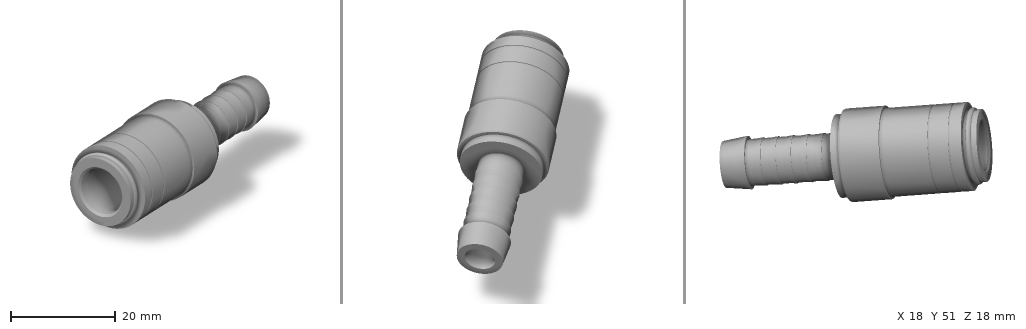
import cadquery as cq


FULL_TURN = 360

total_length = 51.0
body_start = 2.7
collar_start = 18.75
collar_length = 8.0
shoulder_end = 28.5

nose_radius = 7.0
body_radius = 8.55
collar_radius = 9.0
shoulder_radius = 8.05
stem_radius = 4.5

collar_chamfer_length = 0.3
collar_chamfer_depth = 0.15

ring_center = 1.65
ring_half_width = 0.55
ring_height = 0.45

groove_starts = (4.95, 9.0)
groove_width = 0.3
groove_depth = 0.15

barb_count = 5
barb_pitch = 3.0
first_barb = 31.0
barb_taper_length = barb_pitch / 2
barb_height = 0.15

head_length = 5.0
head_radius = 5.15

through_radius = 3.0
socket_radius = 4.7
socket_depth = collar_start
socket_chamfer_depth = 0.45
socket_chamfer_length = 0.45


def revolve_profile(profile):
    """Close a (radius, station) outline and turn it about the Y axis."""
    return profile.close().revolve(FULL_TURN, (0, 0, 0), (0, 1, 0))


def cylinder(radius, start, end):
    """Solid cylinder on the Y axis between two stations."""
    return revolve_profile(
        cq.Workplane("XY")
        .moveTo(0, start)
        .lineTo(radius, start)
        .lineTo(radius, end)
        .lineTo(0, end)
    )


def cone(start_radius, start, end_radius, end):
    """Solid truncated cone on the Y axis between two stations."""
    return revolve_profile(
        cq.Workplane("XY")
        .moveTo(0, start)
        .lineTo(start_radius, start)
        .lineTo(end_radius, end)
        .lineTo(0, end)
    )


def make_collar():
    """Grip collar with a small chamfer on its hose side."""
    collar_end = collar_start + collar_length
    chamfer_start = collar_end - collar_chamfer_length
    straight = cylinder(collar_radius, collar_start, chamfer_start)
    chamfer = cone(collar_radius, chamfer_start, collar_radius - collar_chamfer_depth, collar_end)
    return straight.union(chamfer)


def make_seal_ring():
    """Rounded bead standing proud of the nose."""
    return revolve_profile(
        cq.Workplane("XY")
        .moveTo(0, ring_center - ring_half_width)
        .lineTo(nose_radius, ring_center - ring_half_width)
        .threePointArc(
            (nose_radius + ring_height, ring_center),
            (nose_radius, ring_center + ring_half_width),
        )
        .lineTo(0, ring_center + ring_half_width)
    )


def make_groove(start):
    """Ring-shaped cutter for one body groove."""
    end = start + groove_width
    return cylinder(collar_radius, start, end).cut(cylinder(body_radius - groove_depth, start, end))


def make_stem():
    """Hose stem with evenly spaced barbs and a tapered head."""
    stem = cylinder(stem_radius, shoulder_end, total_length)
    for index in range(barb_count):
        start = first_barb + index * barb_pitch
        barb = cone(stem_radius + barb_height, start, stem_radius, start + barb_taper_length)
        stem = stem.union(barb)
    head = cone(head_radius, total_length - head_length, stem_radius, total_length)
    return stem.union(head)


def make_bore():
    """Through hole with a wider, chamfered socket at the nose."""
    through_hole = cylinder(through_radius, 0, total_length)
    socket = cylinder(socket_radius, 0, socket_depth)
    mouth = cone(socket_radius + socket_chamfer_depth, 0, socket_radius, socket_chamfer_length)
    return through_hole.union(socket).union(mouth)


nose = cylinder(nose_radius, 0, body_start)
body = cylinder(body_radius, body_start, collar_start)
for groove_start in groove_starts:
    body = body.cut(make_groove(groove_start))
shoulder = cylinder(shoulder_radius, collar_start + collar_length, shoulder_end)

result = (
    nose.union(make_seal_ring())
    .union(body)
    .union(make_collar())
    .union(shoulder)
    .union(make_stem())
    .cut(make_bore())
)